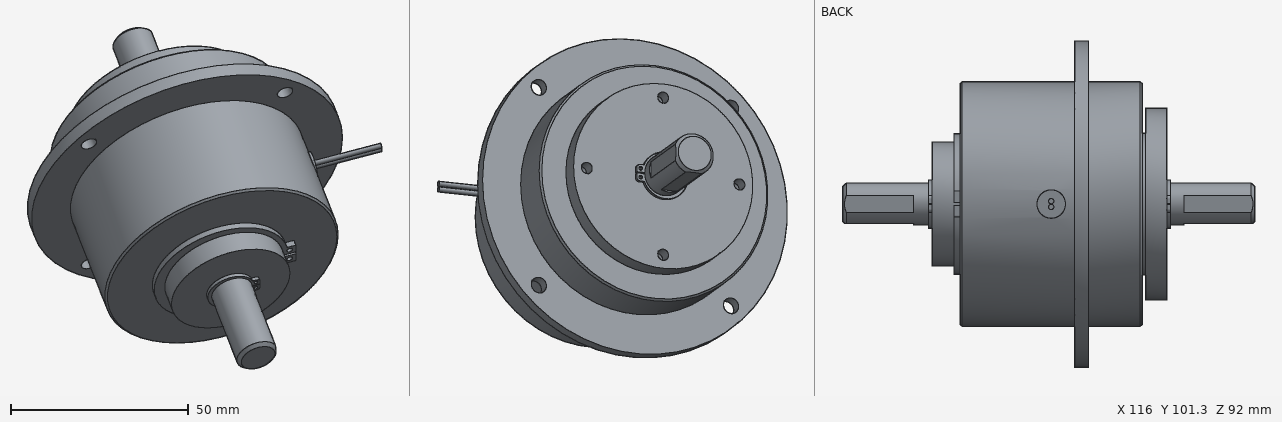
import cadquery as cq
import math


SHAFT_LENGTH = 116.0
SHAFT_DIAMETER = 12.0
SHAFT_CHAMFER = 1.0
FLAT_DEPTH = 0.5
FLAT_LENGTH = 20.0

DISC_START = -33.3
DISC_THICKNESS = 6.0
DISC_DIAMETER = 54.0
COLLAR_DIAMETER = 40.0
HOUSING_START = -26.3
HOUSING_LENGTH = 51.3
HOUSING_DIAMETER = 69.0
HOUSING_CHAMFER = 0.6
FLANGE_START = -11.3
FLANGE_THICKNESS = 4.0
FLANGE_DIAMETER = 92.0
HUB_END = 32.8
HUB_DIAMETER = 35.0

HOLE_COUNT = 4
DISC_HOLE_DIAMETER = 3.2
DISC_HOLE_DEPTH = 4.6
DISC_HOLE_CIRCLE = 46.0
DRILL_POINT_ANGLE = 118.0
FLANGE_HOLE_DIAMETER = 4.5
FLANGE_HOLE_CIRCLE = 82.0

OVERALL_DEPTH = 101.3
WIRE_DIAMETER = 1.5
WIRE_SPACING = 1.6
GROMMET_DIAMETER = 8.0
GROMMET_HEIGHT = 0.7

SHAFT_RING_THICKNESS = 1.0
HUB_RING_THICKNESS = 1.7

HOUSING_END = HOUSING_START + HOUSING_LENGTH


def cylinder(start, length, diameter):
    """Solid cylinder on the X axis."""
    return cq.Workplane("YZ").workplane(offset=start).circle(diameter / 2).extrude(length)


def make_shaft():
    """Chamfered shaft with two set-screw flats at each end."""
    half = SHAFT_LENGTH / 2
    shaft = cylinder(-half, SHAFT_LENGTH, SHAFT_DIAMETER).faces("<X or >X").chamfer(SHAFT_CHAMFER)
    flat_offset = SHAFT_DIAMETER - FLAT_DEPTH
    for side in (-1, 1):
        cutter = cq.Workplane("XY").box(FLAT_LENGTH, SHAFT_DIAMETER, SHAFT_DIAMETER)
        flat_x = side * (half - FLAT_LENGTH / 2)
        shaft = shaft.cut(cutter.translate((flat_x, flat_offset, 0)))
        shaft = shaft.cut(cutter.translate((flat_x, 0, -flat_offset)))
    return shaft


def make_disc_hole():
    """Blind drilled hole with a conical bottom, on the X axis and open at the disc face."""
    radius = DISC_HOLE_DIAMETER / 2
    point_depth = radius / math.tan(math.radians(DRILL_POINT_ANGLE / 2))
    straight_end = DISC_START + DISC_HOLE_DEPTH
    return (
        cq.Workplane("XY")
        .moveTo(DISC_START, 0)
        .lineTo(DISC_START, radius)
        .lineTo(straight_end, radius)
        .lineTo(straight_end + point_depth, 0)
        .close()
        .revolve(360, (0, 0, 0), (1, 0, 0))
    )


def around_axis(tool, circle_diameter, first_angle):
    """Copies of a tool spread evenly around the X axis."""
    copies = []
    for index in range(HOLE_COUNT):
        angle = first_angle + index * 360 / HOLE_COUNT
        moved = tool.translate((0, circle_diameter / 2, 0))
        copies.append(moved.rotate((0, 0, 0), (1, 0, 0), angle))
    return copies


def make_cable_outlet():
    """Grommet on the housing with two wires, one above the other, pointing along +Y."""
    outlet_x = HOUSING_START + HOUSING_LENGTH / 2
    root_y = HOUSING_DIAMETER / 2 - GROMMET_HEIGHT
    wire_end = OVERALL_DEPTH - FLANGE_DIAMETER / 2
    plane = cq.Plane(origin=(outlet_x, root_y, 0), xDir=(-1, 0, 0), normal=(0, 1, 0))
    grommet = cq.Workplane(plane).circle(GROMMET_DIAMETER / 2).extrude(2 * GROMMET_HEIGHT)
    wires = (
        cq.Workplane(plane)
        .pushPoints([(0, -WIRE_SPACING / 2), (0, WIRE_SPACING / 2)])
        .circle(WIRE_DIAMETER / 2)
        .extrude(wire_end - root_y)
    )
    return grommet.union(wires)


def make_clutch():
    """Housing with flange, drive disc, hub and cable outlet, bored for the shaft."""
    housing = cylinder(HOUSING_START, HOUSING_LENGTH, HOUSING_DIAMETER)
    clutch = housing.faces("<X or >X").chamfer(HOUSING_CHAMFER)
    clutch = clutch.union(cylinder(FLANGE_START, FLANGE_THICKNESS, FLANGE_DIAMETER))
    clutch = clutch.union(cylinder(DISC_START, DISC_THICKNESS, DISC_DIAMETER))
    clutch = clutch.union(cylinder(DISC_START, HOUSING_START - DISC_START, COLLAR_DIAMETER))
    clutch = clutch.union(cylinder(HOUSING_END, HUB_END - HOUSING_END, HUB_DIAMETER))
    clutch = clutch.union(make_cable_outlet())

    flange_hole = cylinder(FLANGE_START, FLANGE_THICKNESS, FLANGE_HOLE_DIAMETER)
    holes = around_axis(make_disc_hole(), DISC_HOLE_CIRCLE, 0)
    holes += around_axis(flange_hole, FLANGE_HOLE_CIRCLE, 45)
    for hole in holes:
        clutch = clutch.cut(hole)
    return clutch.cut(cylinder(DISC_START, HUB_END - DISC_START, SHAFT_DIAMETER))


def make_retaining_ring(
    start, thickness, bore, diameter, eccentricity,
    lug_reach, lug_width, corner_radius,
    slit, hole_diameter,
):
    """Eccentric open ring with two drilled lugs on the +Y side."""
    plane = cq.Workplane("YZ").workplane(offset=start)
    body = plane.center(-eccentricity, 0).circle(diameter / 2).extrude(thickness)
    lugs = plane.center(lug_reach / 2, 0).rect(lug_reach, lug_width).extrude(thickness)
    lugs = lugs.edges("|X and >Y").fillet(corner_radius)
    hole_y = (bore / 2 + lug_reach) / 2
    hole_z = (slit + lug_width) / 4
    holes = (
        plane.pushPoints([(hole_y, -hole_z), (hole_y, hole_z)])
        .circle(hole_diameter / 2)
        .extrude(thickness)
    )
    gap = plane.center(lug_reach / 2, 0).rect(lug_reach, slit).extrude(thickness)
    ring = body.union(lugs).cut(plane.circle(bore / 2).extrude(thickness))
    return ring.cut(holes).cut(gap)


def make_shaft_ring(start):
    """Small retaining ring on the shaft, against an end face of the clutch."""
    return make_retaining_ring(
        start=start,
        thickness=SHAFT_RING_THICKNESS,
        bore=SHAFT_DIAMETER,
        diameter=13.7,
        eccentricity=0.29,
        lug_reach=8.4,
        lug_width=4.9,
        corner_radius=1.0,
        slit=0.3,
        hole_diameter=1.0,
    )


def make_hub_ring():
    """Large retaining ring on the hub, against the housing."""
    return make_retaining_ring(
        start=HOUSING_END,
        thickness=HUB_RING_THICKNESS,
        bore=HUB_DIAMETER,
        diameter=39.7,
        eccentricity=0.8,
        lug_reach=21.3,
        lug_width=7.4,
        corner_radius=0.5,
        slit=0.9,
        hole_diameter=1.6,
    )


shaft = make_shaft()
clutch = make_clutch()
hub_ring = make_hub_ring()
shaft_rings = []
for ring_start in (DISC_START - SHAFT_RING_THICKNESS, HUB_END):
    shaft_rings.append(make_shaft_ring(ring_start))

bodies = [shaft, clutch, hub_ring, *shaft_rings]
result = cq.Compound.makeCompound([body.solids().val() for body in bodies])